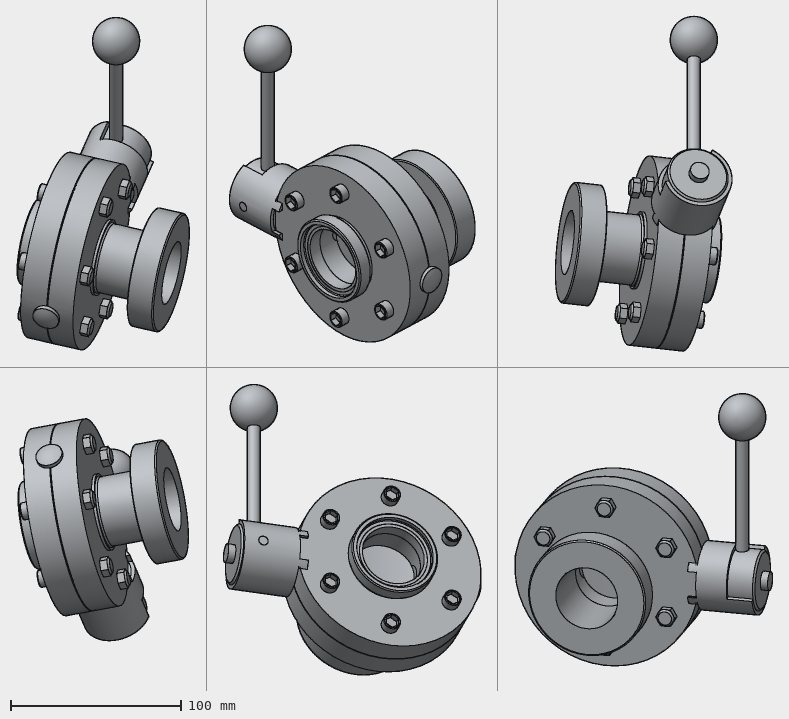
import cadquery as cq
import math


overall_height = 170

flange_radius = 56.0
flange_thickness = 16.2
parting_gap = 0.5
parting_depth = 2.2
bore_radius = 18.9

bolt_count = 6
bolt_circle_radius = 42.8
head_radius = 5.1
head_height = 6.1
head_chamfer = 0.5
socket_flats = 7.5
socket_depth = 4.0
socket_turn = 30
nut_flats = 10.2
nut_height = 4.5
bolt_end_radius = 4.0
bolt_end_height = 1.2
bolt_end_root_radius = bolt_end_radius + bolt_end_height

ferrule_end = 28.0
ferrule_radius = 26.2
ferrule_chamfer = 0.76
ferrule_shoulder = 19.5
ferrule_neck_start = 17.8
ferrule_neck_radius = 24.3
recess_radius = 23.3
recess_depth = 3.4
recess_taper_length = 0.7
recess_floor_radius = 22.8
seat_radius = 20.7
seat_depth = 0.25

collar_radius = 22.8
collar_end = 17.8
weld_end = 19.0
weld_radius = 21.5
pipe_radius = 20.7
flare_start = 41.3
flare_radius = 21.5
ring_start = 42.8
ring_end = 59.0
ring_radius = 35.7
ring_chamfer = 0.8
ring_rear_chamfer_length = 0.5

disc_centre_half_thickness = 1.2
disc_rim_half_thickness = 2.7
stem_radius = 5.6
stem_end = 95.2
pivot_radius = 8.0
pivot_shoulder = 58.0
pivot_end = 59.8

lever_y = 78.2
rod_radius = 3.9
ball_radius = 14.0
ball_height = overall_height - flange_radius - ball_radius
pin_radius = 2.9

sleeve_radius = 20.5
sleeve_start = 55.6
sleeve_end = 89.6
finger_end = 50.2
finger_inner_height = 8.0
slot_start = lever_y - rod_radius
slot_angle_before_upright = 25
slot_angle_past_swung = 19

hub_radius = 18.2
hub_end = 90.8
hub_chamfer = hub_end - sleeve_end


def x_cylinder(radius, start, end):
    return cq.Workplane("YZ", origin=(start, 0, 0)).circle(radius).extrude(end - start)


def y_cylinder(radius, start, end):
    return cq.Workplane("XZ", origin=(0, end, 0)).circle(radius).extrude(end - start)


def x_revolved(points):
    """Turn an outline of (x, radius) points about the X axis."""
    return cq.Workplane("XY").polyline(points).close().revolve(360, (0, 0, 0), (1, 0, 0))


def arc_radius(half_chord, rise):
    return (half_chord**2 + rise**2) / (2 * rise)


def bolt_positions():
    for index in range(bolt_count):
        angle = math.radians(90 + index * 360 / bolt_count)
        yield bolt_circle_radius * math.cos(angle), bolt_circle_radius * math.sin(angle)


def make_bolt_head():
    """Socket head standing on the outer face of the left flange, centred on the X axis."""
    top = -flange_thickness - head_height
    head = x_cylinder(head_radius, top, -flange_thickness).faces("<X").chamfer(head_chamfer)
    socket_diameter = socket_flats / math.cos(math.pi / 6)
    socket = cq.Workplane("YZ").polygon(6, socket_diameter).extrude(socket_depth)
    upright_socket = socket.rotate((0, 0, 0), (1, 0, 0), socket_turn).translate((top, 0, 0))
    return head.cut(upright_socket)


def make_nut():
    """Hexagon nut and tapered bolt end on the outer face of the right flange."""
    nut_diameter = nut_flats / math.cos(math.pi / 6)
    nut = (
        cq.Workplane("YZ", origin=(flange_thickness, 0, 0))
        .polygon(6, nut_diameter)
        .extrude(nut_height)
    )
    tip_start = flange_thickness + nut_height
    tip_end = tip_start + bolt_end_height
    bolt_end = x_revolved(
        [(tip_start, 0), (tip_start, bolt_end_root_radius), (tip_end, bolt_end_radius), (tip_end, 0)]
    )
    return nut.union(bolt_end)


def make_flange(side):
    """One flange half; side is -1 for the left one and 1 for the right one."""
    gap = side * parting_gap / 2
    face = side * flange_thickness
    groove_radius = flange_radius - parting_depth
    flange = x_revolved(
        [
            (0, bore_radius),
            (0, groove_radius),
            (gap, groove_radius),
            (gap, flange_radius),
            (face, flange_radius),
            (face, bore_radius),
        ]
    )
    flange = flange.cut(y_cylinder(stem_radius, 0, stem_end))
    flange = flange.cut(y_cylinder(pivot_radius, -pivot_end, 0))
    fastener = make_bolt_head() if side < 0 else make_nut()
    for y, z in bolt_positions():
        flange = flange.union(fastener.translate((0, y, z)))
    return flange


def make_ferrule():
    floor = ferrule_end - recess_depth
    outline = [
        (flange_thickness, bore_radius),
        (flange_thickness, ferrule_neck_radius),
        (ferrule_neck_start, ferrule_neck_radius),
        (ferrule_shoulder, ferrule_radius),
        (ferrule_end - ferrule_chamfer, ferrule_radius),
        (ferrule_end, ferrule_radius - ferrule_chamfer),
        (ferrule_end, recess_radius),
        (floor + recess_taper_length, recess_radius),
        (floor, recess_floor_radius),
        (floor, seat_radius),
        (floor - seat_depth, seat_radius),
        (floor - seat_depth, bore_radius),
    ]
    return x_revolved([(-distance, radius) for distance, radius in outline])


def make_pipe():
    return x_revolved(
        [
            (flange_thickness, bore_radius),
            (flange_thickness, collar_radius),
            (collar_end, collar_radius),
            (collar_end, weld_radius),
            (weld_end, pipe_radius),
            (flare_start, pipe_radius),
            (ring_start, flare_radius),
            (ring_start, ring_radius - ring_chamfer),
            (ring_start + ring_rear_chamfer_length, ring_radius),
            (ring_end - ring_chamfer, ring_radius),
            (ring_end, ring_radius - ring_chamfer),
            (ring_end, bore_radius),
        ]
    )


def make_disc():
    """Closed disc with hollowed faces, on a stem that ends in a domed pivot."""
    hollow_depth = disc_rim_half_thickness - disc_centre_half_thickness
    hollow_radius = arc_radius(bore_radius, hollow_depth)
    hollow = cq.Workplane("XY").circle(hollow_radius).extrude(bore_radius, both=True)
    plate = x_cylinder(bore_radius, -disc_rim_half_thickness, disc_rim_half_thickness)
    for side in (-1, 1):
        plate = plate.cut(hollow.translate((side * (disc_centre_half_thickness + hollow_radius), 0, 0)))
    bore = x_cylinder(bore_radius, -flange_thickness, flange_thickness)
    stem = y_cylinder(stem_radius, 0, stem_end).cut(bore)
    return plate.union(stem).union(make_pivot().cut(bore))


def make_pivot():
    """Round pivot along -Y with a shallow spherical end."""
    dome_radius = arc_radius(pivot_radius, pivot_end - pivot_shoulder)
    dome = cq.Workplane("XY").sphere(dome_radius).translate((0, dome_radius - pivot_end, 0))
    shank = y_cylinder(pivot_radius, -pivot_shoulder, 0)
    tip = y_cylinder(pivot_radius, -pivot_end, -pivot_shoulder).intersect(dome)
    return shank.union(tip)


def make_sleeve():
    """Fixed sleeve: four fingers straddle the flanges and a slot lets the lever swing 90 degrees."""
    sleeve = y_cylinder(sleeve_radius, finger_end, sleeve_end)
    finger_gaps = [(sleeve_radius, finger_inner_height), (flange_thickness, sleeve_radius)]
    for half_width, half_height in finger_gaps:
        finger_gap = cq.Workplane("XZ", origin=(0, sleeve_start, 0)).rect(2 * half_width, 2 * half_height)
        sleeve = sleeve.cut(finger_gap.extrude(sleeve_start - finger_end))
    sleeve = sleeve.cut(x_cylinder(flange_radius, -flange_thickness, flange_thickness))
    sleeve = sleeve.cut(y_cylinder(hub_radius, finger_end, sleeve_end))
    sleeve = sleeve.cut(make_lever_slot())
    return sleeve.cut(make_pin())


def make_lever_slot():
    """Sector from just left of the upright lever to just below its swung position along +X."""
    reach = 2 * sleeve_radius
    angles = (90 + slot_angle_before_upright, 45, -slot_angle_past_swung)
    corners = [
        (reach * math.cos(math.radians(angle)), reach * math.sin(math.radians(angle)))
        for angle in angles
    ]
    return (
        cq.Workplane("XZ", origin=(0, sleeve_end, 0))
        .polyline([(0, 0), *corners])
        .close()
        .extrude(sleeve_end - slot_start)
    )


def make_pin():
    """Locking pin on the -X side of the hub, reaching the outside of the sleeve."""
    return x_cylinder(pin_radius, -sleeve_radius, -stem_radius).translate((0, lever_y, 0))


def make_handle():
    """Turning hub with its locking pin, lever rod and ball."""
    hub = y_cylinder(hub_radius, sleeve_start, hub_end).faces(">Y").chamfer(hub_chamfer)
    hub = hub.cut(x_cylinder(flange_radius, -flange_thickness, flange_thickness))
    rod = cq.Workplane("XY", origin=(0, lever_y, 0)).circle(rod_radius).extrude(ball_height)
    ball = cq.Workplane("XY").sphere(ball_radius).translate((0, lever_y, ball_height))
    handle = hub.union(make_pin()).union(rod).union(ball)
    return handle.cut(y_cylinder(stem_radius, 0, hub_end))


left_flange = make_flange(-1)
right_flange = make_flange(1)
ferrule = make_ferrule()
pipe = make_pipe()
disc = make_disc()
sleeve = make_sleeve()
handle = make_handle()

result = cq.Compound.makeCompound(
    [
        left_flange.val(),
        right_flange.val(),
        ferrule.val(),
        pipe.val(),
        disc.val(),
        sleeve.val(),
        handle.val(),
    ]
)